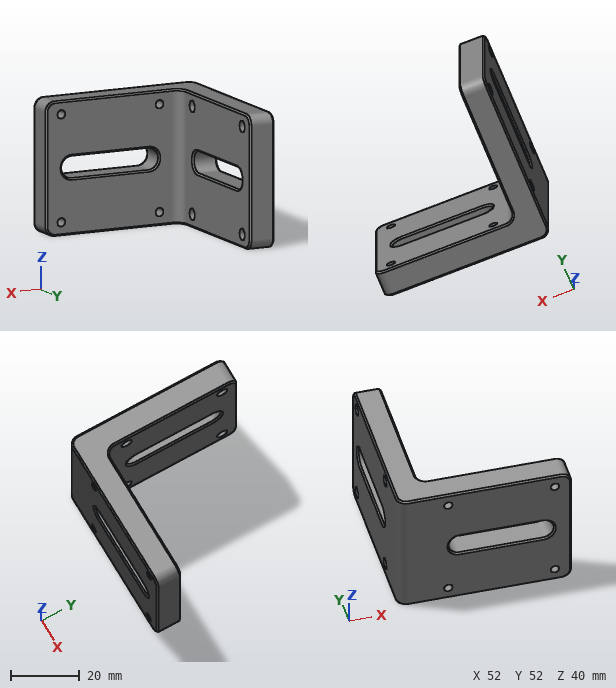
import cadquery as cq

leg_length = 52.0
height = 40.0
thickness = 8.0
corner_radius = 3.0
edge_chamfer = 0.5
chamfer_angle = 45

hole_pitch = 32.0
hole_inset = 4.0
hole_start = 15.05
small_hole_diameter = 2.5
large_hole_diameter = 3.4
slot_center = hole_start + hole_pitch / 2
slot_length = 31.5
slot_width = 6.5

middle_height = height / 2


def make_body():
    """L-shaped bracket with rounded corners and chamfered rims."""
    body = (
        cq.Workplane("XY")
        .polyline([
            (0, 0),
            (leg_length, 0),
            (leg_length, thickness),
            (thickness, thickness),
            (thickness, leg_length),
            (0, leg_length),
        ])
        .close()
        .extrude(height)
    )
    for bend in (0, thickness):
        body = body.edges(cq.selectors.NearestToPointSelector((bend, bend, middle_height)))
        body = body.fillet(corner_radius)
    body = body.faces(">X").edges("|Y").fillet(corner_radius)
    body = body.faces(">Y").edges("|X").fillet(corner_radius)
    body = body.faces("<Y").edges(">X").chamfer(edge_chamfer)
    inner_face = cq.selectors.NearestToPointSelector((slot_center, thickness, middle_height))
    return body.faces(inner_face).edges(">X").chamfer(edge_chamfer)


def leg_plane(axis):
    """Plane on a leg's outer face: local x along the leg, local z into it, origin at mid height."""
    middle = (0, 0, middle_height)
    if axis == "X":
        return cq.Plane(origin=middle, xDir=(1, 0, 0), normal=(0, 1, 0))
    return cq.Plane(origin=middle, xDir=(0, 1, 0), normal=(1, 0, 0))


def make_cutter(axis, hole_diameter):
    """Four through holes and a slot chamfered at both mouths."""
    pattern_start = cq.Workplane(leg_plane(axis)).center(slot_center, 0)
    pattern_size = (hole_pitch, height - 2 * hole_inset)
    holes = (
        pattern_start
        .rarray(*pattern_size, 2, 2)
        .circle(hole_diameter / 2)
        .extrude(thickness)
    )
    slot = pattern_start.slot2D(slot_length, slot_width).extrude(thickness)
    mouth = (
        pattern_start.slot2D(slot_length + 2 * edge_chamfer, slot_width + 2 * edge_chamfer)
        .extrude(edge_chamfer, taper=chamfer_angle)
    )
    mid_thickness = (thickness / 2,) * 3
    far_mouth = mouth.mirror("XZ" if axis == "X" else "YZ", mid_thickness)
    return holes.union(slot).union(mouth).union(far_mouth)


result = make_body()
for axis, diameter in (("X", small_hole_diameter), ("Y", large_hole_diameter)):
    result = result.cut(make_cutter(axis, diameter))